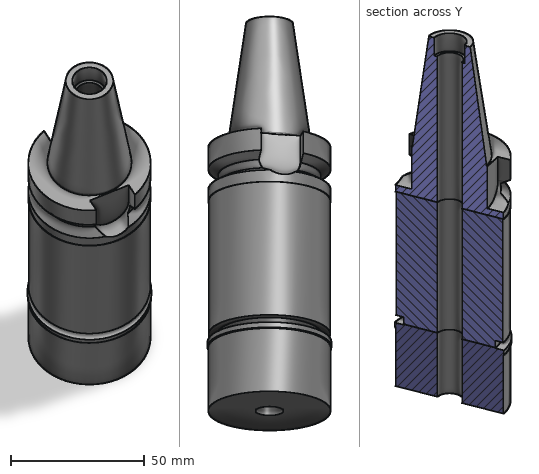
import cadquery as cq

total_height = 153.4
nut_height = 27.3
body_bottom = 30.4
shank_bottom = 83.1
groove_bottom = 87.7
groove_floor_bottom = 89.9
groove_floor_top = 93.3
flange_bottom = 95.7
flange_top = 104.3
taper_bottom = 105.2

outer_radius = 23.0
collar_radius = 23.3
body_radius = 22.9
neck_radius = 19.6
groove_radius = 19.3
taper_base_radius = 15.8
taper_tip_radius = 8.9
bore_radius = 5.2
counterbore_radius = 6.5
counterbore_depth = 7.7

collar_chamfer = collar_radius - outer_radius
collar_height = 2.3

slot_width = 16.3
slot_floor_distance = 16.3
slot_bottom = 86.2
slot_arc_height = slot_bottom + slot_width / 2


def cylinder(radius, bottom, top):
    return cq.Workplane("XY").workplane(offset=bottom).circle(radius).extrude(top - bottom)


def revolve_profile(points):
    """Turn a (radius, height) outline about the Z axis."""
    return cq.Workplane("XZ").polyline(points).close().revolve(360, (0, 0, 0), (0, 1, 0))


def cut_bore(solid):
    """Cut the axial bore that runs through all three bodies."""
    return solid.cut(cylinder(bore_radius, 0, total_height))


def make_drive_slot(side):
    """Round-bottomed slot cutter; side is +1 or -1 along X."""
    return (
        cq.Workplane("YZ")
        .workplane(offset=side * slot_floor_distance)
        .moveTo(-slot_width / 2, flange_top)
        .lineTo(-slot_width / 2, slot_arc_height)
        .threePointArc((0, slot_bottom), (slot_width / 2, slot_arc_height))
        .lineTo(slot_width / 2, flange_top)
        .close()
        .extrude(side * (collar_radius - slot_floor_distance))
    )


def make_shank():
    """Tapered shank with its grooved flange, drive slots and counterbore."""
    shank = revolve_profile([
        (0, shank_bottom),
        (outer_radius, shank_bottom),
        (outer_radius, groove_bottom),
        (groove_radius, groove_floor_bottom),
        (groove_radius, groove_floor_top),
        (outer_radius, flange_bottom),
        (outer_radius, flange_top),
        (taper_base_radius, flange_top),
        (taper_base_radius, taper_bottom),
        (taper_tip_radius, total_height),
        (0, total_height),
    ])
    for side in (-1, 1):
        shank = shank.cut(make_drive_slot(side))
    counterbore = cylinder(counterbore_radius, total_height - counterbore_depth, total_height)
    return cut_bore(shank.cut(counterbore))


def make_body():
    """Cylindrical chuck body with a narrower neck that rests on the nut."""
    neck = cylinder(neck_radius, nut_height, body_bottom)
    return cut_bore(cylinder(body_radius, body_bottom, shank_bottom).union(neck))


def make_nut():
    """Clamping nut with a collar chamfered on its lower edge."""
    collar_bottom = nut_height - collar_height
    nut = revolve_profile([
        (0, 0),
        (outer_radius, 0),
        (outer_radius, collar_bottom),
        (collar_radius, collar_bottom + collar_chamfer),
        (collar_radius, nut_height),
        (0, nut_height),
    ])
    return cut_bore(nut)


shank = make_shank()
body = make_body()
nut = make_nut()

result = cq.Compound.makeCompound([shank.val(), body.val(), nut.val()])